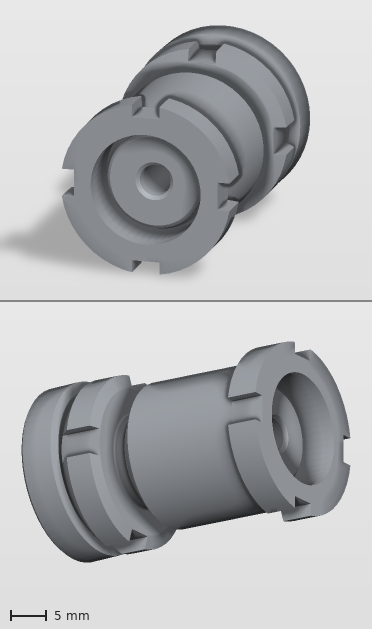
import cadquery as cq
import math


FLANGE_RADIUS = 12.4
BODY_RADIUS = 10.48
RIM_ANGLE = math.radians(15)
RIM_SETBACK = (FLANGE_RADIUS - BODY_RADIUS) * math.tan(RIM_ANGLE)
SLOT_WIDTH = 4.0
SLOT_COUNT = 4
THREAD_RADIUS = 7.52

HOUSING_LENGTH = 23.0
HOUSING_FLANGE_LENGTH = 5.1
HOUSING_CHAMFER = 0.55
COUNTERBORE_RADIUS = 8.05
COUNTERBORE_DEPTH = 7.88

SPINDLE_FRONT = 4.2
PILOT_RADIUS = 6.97
PILOT_LENGTH = 1.58
PILOT_CHAMFER = 0.5
HOLE_RADIUS = 2.25
HOLE_CHAMFER = 0.5

CONE_START = 24.85
NECK_RADIUS = 6.75
NECK_CONE_FILLET = 0.8
NECK_COLLAR_FILLET = 0.3
COLLAR_FRONT = 27.1
COLLAR_EDGE = 31.45
BALL_RADIUS = 16.0
BALL_CENTRE = COLLAR_EDGE - math.sqrt(BALL_RADIUS**2 - FLANGE_RADIUS**2)

DISC_RADIUS = 24.95 / 2
DISC_THICKNESS = 5.5
DISC_CHAMFER = 0.47
DISC_FRONT_RADIUS = 11.03
DISC_RIM_SETBACK = (DISC_RADIUS - DISC_FRONT_RADIUS) * math.tan(RIM_ANGLE)
DISC_HOLE_RADIUS = 3.15
SOCKET_HALF_ANGLE = math.radians(60)
SOCKET_DEPTH = (DISC_FRONT_RADIUS - DISC_HOLE_RADIUS) / math.tan(SOCKET_HALF_ANGLE)
DISC_BACK = 39.0
DISC_TILT = 1.9
TILT_DIRECTION = 15


def turn(outline):
    """Close a (radius, Y) outline and revolve it about the Y axis."""
    return outline.close().revolve(360, (0, 0, 0), (0, 1, 0))


def cut_slots(body, start, end):
    """Cut the spanner slots down to the body radius between two Y positions."""
    slot = (
        cq.Workplane("XY")
        .box(SLOT_WIDTH, end - start, FLANGE_RADIUS, centered=(True, False, False))
        .translate((0, start, BODY_RADIUS))
    )
    for i in range(SLOT_COUNT):
        body = body.cut(slot.rotate((0, 0, 0), (0, 1, 0), i * 360 / SLOT_COUNT))
    return body


def make_housing():
    outline = (
        cq.Workplane("XY")
        .moveTo(COUNTERBORE_RADIUS, 0)
        .lineTo(FLANGE_RADIUS, 0)
        .lineTo(FLANGE_RADIUS, HOUSING_FLANGE_LENGTH - RIM_SETBACK)
        .lineTo(BODY_RADIUS, HOUSING_FLANGE_LENGTH)
        .lineTo(BODY_RADIUS, HOUSING_LENGTH - HOUSING_CHAMFER)
        .lineTo(BODY_RADIUS - HOUSING_CHAMFER, HOUSING_LENGTH)
        .lineTo(THREAD_RADIUS, HOUSING_LENGTH)
        .lineTo(THREAD_RADIUS, COUNTERBORE_DEPTH)
        .lineTo(COUNTERBORE_RADIUS, COUNTERBORE_DEPTH)
    )
    return cut_slots(turn(outline), 0, HOUSING_FLANGE_LENGTH)


def make_spindle():
    pilot_end = SPINDLE_FRONT + PILOT_LENGTH
    neck_start = CONE_START + THREAD_RADIUS - NECK_RADIUS
    fillet_trim = NECK_CONE_FILLET * math.tan(math.radians(22.5))
    fillet_start = (NECK_RADIUS + fillet_trim * math.sqrt(0.5), neck_start - fillet_trim * math.sqrt(0.5))
    dome_end = BALL_CENTRE + math.sqrt(BALL_RADIUS**2 - HOLE_RADIUS**2)
    mid_radius = (FLANGE_RADIUS + HOLE_RADIUS) / 2
    mid_y = BALL_CENTRE + math.sqrt(BALL_RADIUS**2 - mid_radius**2)
    outline = (
        cq.Workplane("XY")
        .moveTo(HOLE_RADIUS + HOLE_CHAMFER, SPINDLE_FRONT)
        .lineTo(PILOT_RADIUS - PILOT_CHAMFER, SPINDLE_FRONT)
        .lineTo(PILOT_RADIUS, SPINDLE_FRONT + PILOT_CHAMFER)
        .lineTo(PILOT_RADIUS, pilot_end)
        .lineTo(THREAD_RADIUS, pilot_end + THREAD_RADIUS - PILOT_RADIUS)
        .lineTo(THREAD_RADIUS, CONE_START)
        .lineTo(*fillet_start)
        .tangentArcPoint((NECK_RADIUS, neck_start + fillet_trim), relative=False)
        .lineTo(NECK_RADIUS, COLLAR_FRONT - NECK_COLLAR_FILLET)
        .tangentArcPoint((NECK_RADIUS + NECK_COLLAR_FILLET, COLLAR_FRONT), relative=False)
        .lineTo(BODY_RADIUS, COLLAR_FRONT)
        .lineTo(FLANGE_RADIUS, COLLAR_FRONT + RIM_SETBACK)
        .lineTo(FLANGE_RADIUS, COLLAR_EDGE)
        .threePointArc((mid_radius, mid_y), (HOLE_RADIUS, dome_end))
        .lineTo(HOLE_RADIUS, SPINDLE_FRONT + HOLE_CHAMFER)
    )
    return cut_slots(turn(outline), COLLAR_FRONT, dome_end)


def make_disc():
    """Tilt the cone-socketed disc about the centre of its back face, then recess it for the ball."""
    outline = (
        cq.Workplane("XY")
        .moveTo(DISC_HOLE_RADIUS, SOCKET_DEPTH - DISC_THICKNESS)
        .lineTo(DISC_FRONT_RADIUS, -DISC_THICKNESS)
        .lineTo(DISC_RADIUS, DISC_RIM_SETBACK - DISC_THICKNESS)
        .lineTo(DISC_RADIUS, -DISC_CHAMFER)
        .lineTo(DISC_RADIUS - DISC_CHAMFER, 0)
        .lineTo(DISC_HOLE_RADIUS, 0)
    )
    disc = (
        turn(outline)
        .rotate((0, 0, 0), (1, 0, 0), -DISC_TILT)
        .rotate((0, 0, 0), (0, 1, 0), -TILT_DIRECTION)
        .translate((0, DISC_BACK, 0))
    )
    ball = cq.Workplane("XY").sphere(BALL_RADIUS).translate((0, BALL_CENTRE, 0))
    return disc.cut(ball)


housing = make_housing()
spindle = make_spindle()
disc = make_disc()
result = cq.Compound.makeCompound([housing.val(), spindle.val(), disc.val()])